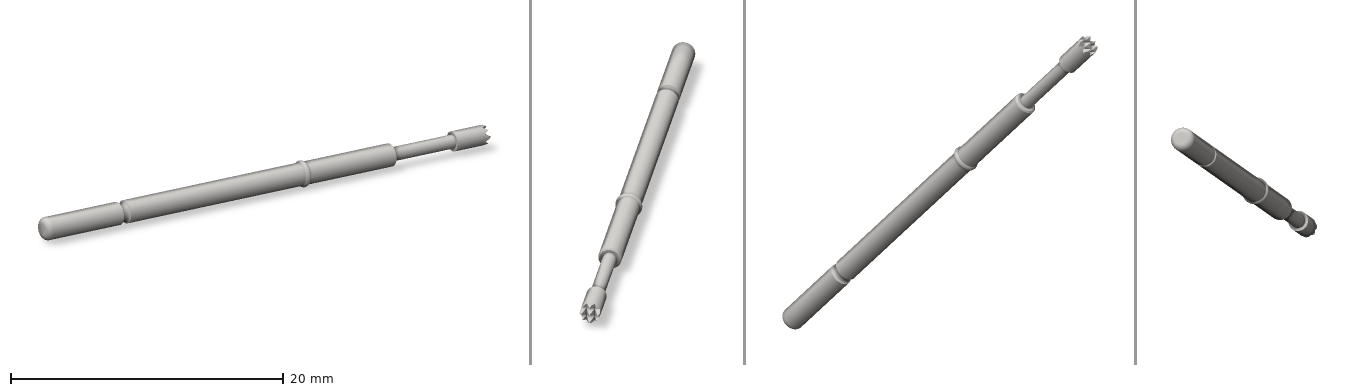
import cadquery as cq

total_length = 38.7
barrel_radius = 1.75 / 2
collar_radius = 2.0 / 2
stem_radius = 1.05 / 2
head_radius = 1.5 / 2

barrel_length = 30.4
barrel_front_chamfer = 0.1
rear_fillet_radius = 0.43

groove_center = 6.9
groove_width = 0.6
groove_depth = 0.25
collar_center = 22.65
collar_width = 0.45

head_length = 2.98
tooth_pitch = 0.6
tooth_height = 0.58


def make_turned_body():
    """Revolve the half outline (radius along X) about the Y axis."""
    groove_rear = groove_center - groove_width / 2
    groove_front = groove_center + groove_width / 2
    collar_rear = collar_center - collar_width / 2
    collar_front = collar_center + collar_width / 2
    rear_flat_radius = barrel_radius - rear_fillet_radius
    head_rear = total_length - head_length
    outline = (
        cq.Workplane("XY")
        .lineTo(rear_flat_radius, 0)
        .radiusArc((barrel_radius, rear_fillet_radius), -rear_fillet_radius)
        .lineTo(barrel_radius, groove_rear)
        .threePointArc((barrel_radius - groove_depth, groove_center), (barrel_radius, groove_front))
        .lineTo(barrel_radius, collar_rear)
        .threePointArc((collar_radius, collar_center), (barrel_radius, collar_front))
        .lineTo(barrel_radius, barrel_length - barrel_front_chamfer)
        .lineTo(barrel_radius - barrel_front_chamfer, barrel_length)
        .lineTo(stem_radius, barrel_length)
        .lineTo(stem_radius, head_rear)
        .lineTo(head_radius, head_rear)
        .lineTo(head_radius, total_length)
        .lineTo(0, total_length)
        .close()
    )
    return outline.revolve(360, (0, 0, 0), (0, 1, 0))


def make_tooth_groove(offset):
    """V groove along Z, open at the front face, with its bottom at X = offset."""
    half_pitch = tooth_pitch / 2
    return (
        cq.Workplane("XY")
        .moveTo(offset - half_pitch, total_length)
        .lineTo(offset, total_length - tooth_height)
        .lineTo(offset + half_pitch, total_length)
        .close()
        .extrude(2 * head_radius, both=True)
    )


def cut_teeth(body):
    """Cut crossed V grooves that leave pointed teeth at the centre and on the X and Z axes."""
    for step in (-1.5, -0.5, 0.5, 1.5):
        groove = make_tooth_groove(step * tooth_pitch)
        crossing_groove = groove.rotate((0, 0, 0), (0, 1, 0), 90)
        body = body.cut(groove).cut(crossing_groove)
    return body


result = cut_teeth(make_turned_body())